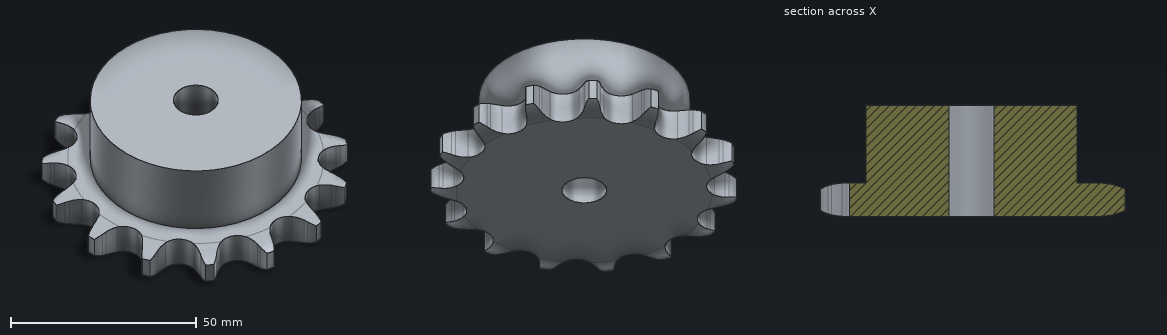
import cadquery as cq
import math

tooth_count = 15
pitch_diameter = 76.3
tip_diameter = 83.0
roller_diameter = 10.2
seat_radius = 5.1
plate_thickness = 9.1

relief_radius = 16.0
relief_width = 6.95

hub_diameter = 57.0
bore_diameter = 12.0
total_height = 30.0

pitch_radius = pitch_diameter / 2
tip_radius = tip_diameter / 2
tooth_pitch_angle = 360 / tooth_count
seat_angle = 35 + 60 / tooth_count
working_angle = 18 - 56 / tooth_count
flank_angle = seat_angle - working_angle
topping_angle = 17 - 64 / tooth_count

working_offset = 0.8 * roller_diameter
topping_offset = 1.4 * roller_diameter
working_radius = working_offset + seat_radius
flat_length = (
    topping_offset * math.sin(math.radians(topping_angle))
    - working_offset * math.sin(math.radians(working_angle))
)
topping_radius = (
    topping_offset * math.cos(math.radians(topping_angle))
    + working_offset * math.cos(math.radians(working_angle))
    - working_radius
)


def polar(radius, angle, center=(0, 0)):
    """Point at a radius and an angle in degrees about a center."""
    turn = math.radians(angle)
    return (center[0] + radius * math.cos(turn), center[1] + radius * math.sin(turn))


def direction(point, center=(0, 0)):
    """Angle in degrees of a point seen from a center."""
    return math.degrees(math.atan2(point[1] - center[1], point[0] - center[0]))


def rotated(point, angle):
    """Point turned about the sprocket axis."""
    return polar(math.hypot(*point), direction(point) + angle)


def gap_flank():
    """Right flank of the gap centered on +Y, from the end of the roller seat to the tip circle."""
    seat_center = (0, pitch_radius)
    seat_end = polar(seat_radius, -seat_angle, seat_center)

    working_center = polar(-working_offset, -seat_angle, seat_center)
    working_mid = polar(working_radius, -(seat_angle + flank_angle) / 2, working_center)
    working_end = polar(working_radius, -flank_angle, working_center)

    flat_end = polar(flat_length, 90 - flank_angle, working_end)

    topping_center = polar(topping_radius, -flank_angle, flat_end)
    center_distance = math.hypot(*topping_center)
    tip_cosine = (center_distance**2 + tip_radius**2 - topping_radius**2) / (2 * center_distance * tip_radius)
    tip = polar(tip_radius, direction(topping_center) + math.degrees(math.acos(tip_cosine)))
    topping_start_angle = 180 - flank_angle
    topping_mid_angle = (topping_start_angle + direction(tip, topping_center)) / 2
    topping_mid = polar(topping_radius, topping_mid_angle, topping_center)

    return seat_end, working_mid, working_end, flat_end, topping_mid, tip


def toothed_plate():
    """Flat plate with the full tooth outline, drawn clockwise gap by gap from +Y."""
    right_flank = gap_flank()
    left_flank = [(-x, y) for x, y in right_flank]
    seat_root = (0, pitch_radius - seat_radius)

    outline = cq.Workplane("XY").moveTo(*left_flank[-1])
    for gap in range(tooth_count):
        turn = -gap * tooth_pitch_angle

        seat_start, working_mid, working_end, flat_end, topping_mid, _ = [
            rotated(point, turn) for point in left_flank
        ]
        outline = (
            outline.threePointArc(topping_mid, flat_end)
            .lineTo(*working_end)
            .threePointArc(working_mid, seat_start)
        )

        seat_end, working_mid, working_end, flat_end, topping_mid, tip = [
            rotated(point, turn) for point in right_flank
        ]
        outline = (
            outline.threePointArc(rotated(seat_root, turn), seat_end)
            .threePointArc(working_mid, working_end)
            .lineTo(*flat_end)
            .threePointArc(topping_mid, tip)
        )

        tooth_top = polar(tip_radius, 90 + turn - tooth_pitch_angle / 2)
        next_tip = rotated(left_flank[-1], turn - tooth_pitch_angle)
        outline = outline.threePointArc(tooth_top, next_tip)

    return outline.close().extrude(plate_thickness)


def relief_drop(distance):
    """Depth of the face relief at a distance outward from where it starts."""
    return relief_radius - math.sqrt(relief_radius**2 - distance**2)


def relieved_disc():
    """Disc whose two faces curve toward each other near the tooth tips."""
    start_radius = tip_radius - relief_width
    mid_radius = tip_radius - relief_width / 2
    mid_drop = relief_drop(relief_width / 2)
    tip_drop = relief_drop(relief_width)
    return (
        cq.Workplane("XZ")
        .lineTo(start_radius, 0)
        .threePointArc((mid_radius, mid_drop), (tip_radius, tip_drop))
        .lineTo(tip_radius, plate_thickness - tip_drop)
        .threePointArc((mid_radius, plate_thickness - mid_drop), (start_radius, plate_thickness))
        .lineTo(0, plate_thickness)
        .close()
        .revolve(360, (0, 0, 0), (0, 1, 0))
    )


teeth = toothed_plate().intersect(relieved_disc())
hub = cq.Workplane("XY").circle(hub_diameter / 2).extrude(total_height)
bore = cq.Workplane("XY").circle(bore_diameter / 2).extrude(total_height)

result = teeth.union(hub).cut(bore)